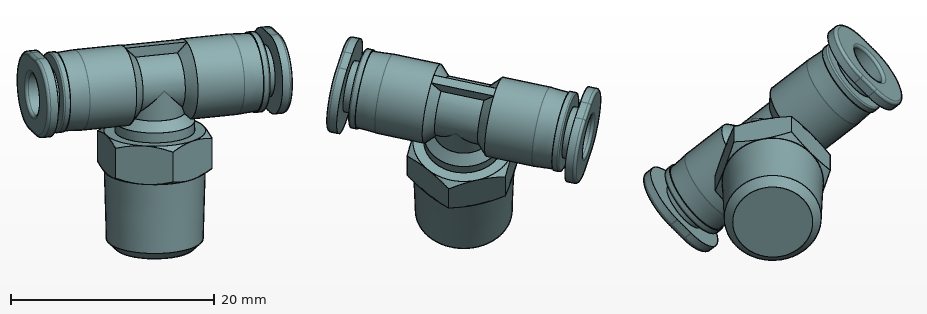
import cadquery as cq
import math

run_length = 25.4
barrel_radius = 4.0
core_radius = 3.0
core_half_length = 2.18
shoulder_y = core_half_length + barrel_radius - core_radius

taper_start_y = 8.0
taper_end_y = 10.0
taper_end_radius = 3.85
ring_end_y = 10.7
ring_rounding = 0.15

button_width = 10.0
button_height = 2 * barrel_radius
button_thickness = 1.1
button_rounding = 0.3
neck_radius = 2.6

bore_radius = 2.1
bore_depth = 9.0

rib_width = 1.0

stem_radius = 3.94
neck_cone_height = stem_radius - core_radius
stem_top_z = -barrel_radius
hex_sides = 6
hex_top_z = -5.0
hex_bottom_z = -9.0
hex_across_flats = 10.0
hex_chamfer_angle = 30.0
thread_top_radius = 4.98
thread_end_radius = 4.78
thread_taper_end_z = -16.18
thread_tip_radius = 3.94
bottom_z = -17.02


def revolve_about_y(profile):
    """Revolve (radius, y) points about the Y axis."""
    return cq.Workplane("XY").polyline(profile).close().revolve(360, (0, 0, 0), (0, 1, 0))


def revolve_about_z(profile):
    """Revolve (radius, z) points about the Z axis."""
    return cq.Workplane("XZ").polyline(profile).close().revolve(360, (0, 0, 0), (0, 1, 0))


def plane_along_y(y):
    """Workplane at the given y, facing +Y, with local y along +Z."""
    return cq.Workplane(cq.Plane(origin=(0, y, 0), xDir=(-1, 0, 0), normal=(0, 1, 0)))


def make_socket():
    """Half of the run on the +Y side: core, barrel, end ring, neck and button."""
    end_y = run_length / 2
    barrel = revolve_about_y([
        (0, 0),
        (core_radius, 0),
        (core_radius, core_half_length),
        (barrel_radius, shoulder_y),
        (barrel_radius, taper_start_y),
        (taper_end_radius, taper_end_y),
        (0, taper_end_y),
    ])
    ring = plane_along_y(taper_end_y).circle(barrel_radius).extrude(ring_end_y - taper_end_y)
    ring = ring.faces(">Y").edges().fillet(ring_rounding)
    neck_length = end_y - button_thickness - ring_end_y
    neck = plane_along_y(ring_end_y).circle(neck_radius).extrude(neck_length)
    bore = plane_along_y(end_y - bore_depth).circle(bore_radius).extrude(bore_depth)
    button = (
        plane_along_y(end_y - button_thickness)
        .slot2D(button_width, button_height)
        .extrude(button_thickness)
        .cut(bore)
    )
    button = button.faces(">Y").edges().fillet(button_rounding)
    return barrel.union(ring).union(neck).cut(bore).union(button)


def make_rib():
    """Flat-topped rib between the two barrel shoulders."""
    return (
        cq.Workplane("XY")
        .rect(rib_width, 2 * shoulder_y)
        .extrude(barrel_radius)
    )


def make_branch_neck():
    """Round neck widening through a cone to the stem above the hexagon."""
    return revolve_about_z([
        (0, 0),
        (core_radius, 0),
        (core_radius, stem_top_z + neck_cone_height),
        (stem_radius, stem_top_z),
        (stem_radius, hex_top_z),
        (0, hex_top_z),
    ])


def make_hexagon():
    """Hexagon with corners on the X axis, both ends bevelled from the across-flats circle."""
    flat_radius = hex_across_flats / 2
    corner_radius = flat_radius / math.cos(math.pi / hex_sides)
    bevel = (corner_radius - flat_radius) * math.tan(math.radians(hex_chamfer_angle))
    prism = (
        cq.Workplane("XY", origin=(0, 0, hex_bottom_z))
        .polygon(hex_sides, 2 * corner_radius)
        .extrude(hex_top_z - hex_bottom_z)
    )
    envelope = revolve_about_z([
        (0, hex_top_z),
        (flat_radius, hex_top_z),
        (corner_radius, hex_top_z - bevel),
        (corner_radius, hex_bottom_z + bevel),
        (flat_radius, hex_bottom_z),
        (0, hex_bottom_z),
    ])
    return prism.intersect(envelope)


def make_thread_body():
    """Tapered thread body with a bevelled tip."""
    return revolve_about_z([
        (0, hex_bottom_z),
        (thread_top_radius, hex_bottom_z),
        (thread_end_radius, thread_taper_end_z),
        (thread_tip_radius, bottom_z),
        (0, bottom_z),
    ])


socket = make_socket()
result = (
    socket.union(socket.mirror("XZ"))
    .union(make_rib())
    .union(make_branch_neck())
    .union(make_hexagon())
    .union(make_thread_body())
)